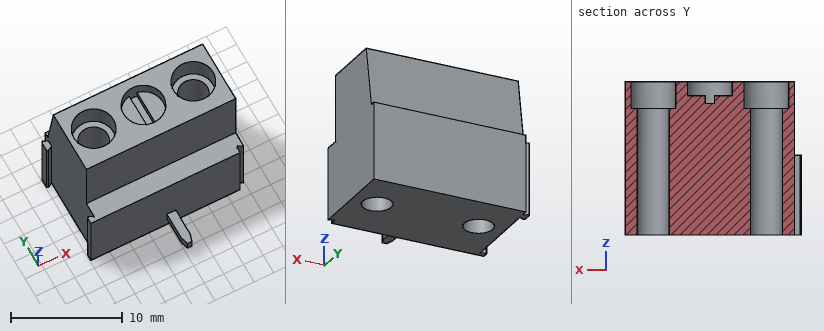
import cadquery as cq

total_width = 15.84
rail_depth = 0.6
body_width = total_width - rail_depth
body_center_x = rail_depth + body_width / 2
body_depth = 9.8
total_height = 13.8

front_step_height = 7.19
front_step_depth = 1.96
back_ledge_height = 7.7
back_ledge_depth = 0.5
top_back_y = 8.25

tip_chamfer_run = 0.13
tip_chamfer_rise = 0.6
dovetail_taper = 1.7

corner_rail_depth = 0.71
dovetail_center_y = 8.87
dovetail_width = 1.11

hole_pitch = 5.08
hole_y = 5.3
bore_diameter = 4.0
through_diameter = 2.85
outer_bore_depth = 2.39
screw_bore_depth = 1.25
slot_width = 0.8
slot_depth = 0.7

pin_size = 0.9
pin_length = 3.5
pin_tip_length = 0.76
pin_tip_width = 0.46
pin_bottom_z = 1.08


def make_body():
    profile = [
        (0, 0),
        (body_depth, 0),
        (body_depth, back_ledge_height),
        (body_depth - back_ledge_depth, back_ledge_height),
        (top_back_y, total_height),
        (front_step_depth, total_height),
        (front_step_depth, front_step_height),
        (0, front_step_height),
    ]
    return cq.Workplane("YZ", origin=(rail_depth, 0, 0)).polyline(profile).close().extrude(body_width)


def dovetail_edge(outer_x, peak_y, direction):
    """Edge of a rail from its outer face to its root; direction is +1 or -1 along Y."""
    return [
        (outer_x, peak_y - direction * tip_chamfer_rise),
        (outer_x + tip_chamfer_run, peak_y),
        (outer_x + rail_depth, peak_y - direction * dovetail_taper),
    ]


def extrude_rail(points):
    return cq.Workplane("XY").polyline(points).close().extrude(front_step_height)


def make_corner_rail(outer_x):
    """Rail section at the front corner, also used as the cutter for its mating notch."""
    edge = dovetail_edge(outer_x, corner_rail_depth, 0.16)
    return extrude_rail([(outer_x, 0)] + edge + [(outer_x + rail_depth, 0)])


def make_dovetail_rail():
    back_edge = dovetail_edge(0, dovetail_center_y + dovetail_width / 2, 0.16)
    front_edge = dovetail_edge(0, dovetail_center_y - dovetail_width / 2, -0.16)
    return extrude_rail(back_edge + front_edge[::-1])


def make_top_bore(center_x, depth):
    floor_z = total_height - depth
    return (
        cq.Workplane("XY", origin=(center_x, hole_y, floor_z))
        .circle(bore_diameter / 2)
        .extrude(depth)
    )


def make_through_hole(center_x):
    return (
        cq.Workplane("XY", origin=(center_x, hole_y, 0))
        .circle(through_diameter / 2)
        .extrude(total_height)
    )


def make_screw_slot():
    """Straight slot across the screw head, ending at the wall of the bore."""
    slot_bar = cq.Workplane("XY", origin=(body_center_x, hole_y, 0)).box(
        slot_width, bore_diameter, total_height, centered=(True, True, False)
    )
    return make_top_bore(body_center_x, screw_bore_depth + slot_depth).intersect(slot_bar)


def make_pin():
    half_width = pin_size / 2
    half_tip = pin_tip_width / 2
    shoulder_y = pin_tip_length - pin_length
    outline = [
        (-half_width, 0),
        (-half_width, shoulder_y),
        (-half_tip, -pin_length),
        (half_tip, -pin_length),
        (half_width, shoulder_y),
        (half_width, 0),
    ]
    return (
        cq.Workplane("XY", origin=(body_center_x, 0, pin_bottom_z))
        .polyline(outline)
        .close()
        .extrude(pin_size)
    )


result = make_body()
result = result.union(make_corner_rail(0)).union(make_dovetail_rail()).union(make_pin())
result = result.cut(make_corner_rail(body_width))

for side in (-1, 1):
    hole_x = body_center_x + side * hole_pitch
    result = result.cut(make_top_bore(hole_x, outer_bore_depth)).cut(make_through_hole(hole_x))

result = result.cut(make_top_bore(body_center_x, screw_bore_depth)).cut(make_screw_slot())